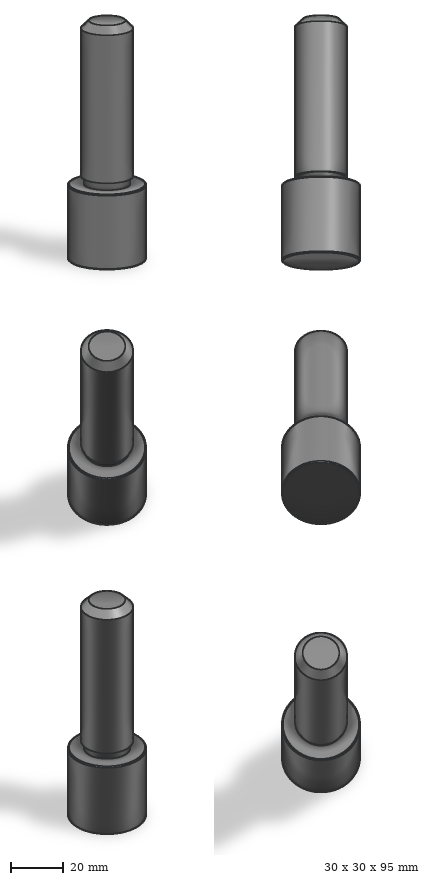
import cadquery as cq

total_length = 95.0
head_diameter = 30.0
head_height = 30.0
head_chamfer = 0.5
neck_diameter = 18.0
neck_height = 3.0
shank_diameter = 20.0
tip_chamfer = 3.0

neck_bottom = head_height
shank_bottom = neck_bottom + neck_height
shank_length = total_length - shank_bottom


def cylinder(diameter, height, bottom):
    """Upright cylinder standing on the given Z level."""
    return cq.Workplane("XY").workplane(offset=bottom).circle(diameter / 2).extrude(height)


head = cylinder(head_diameter, head_height, 0).faces("<Z or >Z").chamfer(head_chamfer)

neck = cylinder(neck_diameter, neck_height, neck_bottom)

shank = cylinder(shank_diameter, shank_length, shank_bottom).faces(">Z").chamfer(tip_chamfer)

result = head.union(neck).union(shank)